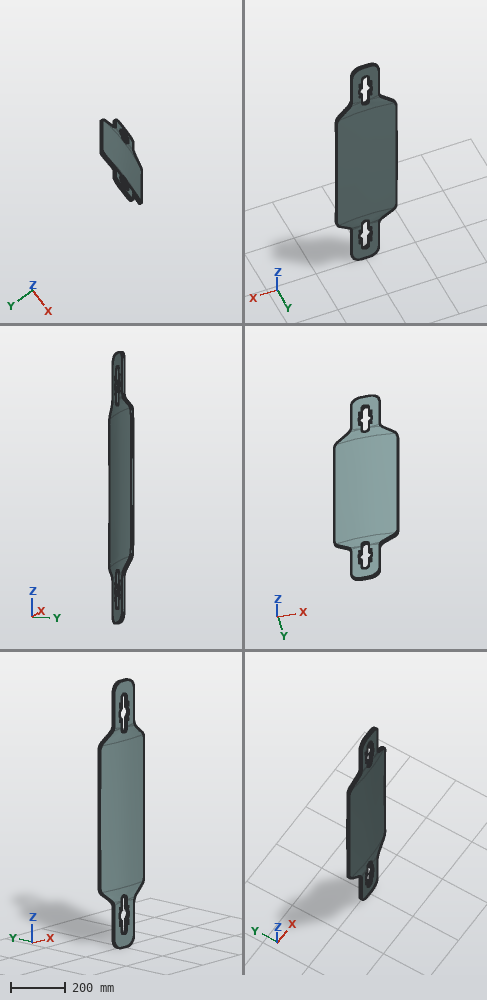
import cadquery as cq
import math

INCH = 25.4

length = 40 * INCH
width = 9.5 * INCH
depth = 20.91
thickness = 0.375 * INCH

half_length = length / 2
deck_end = 11 * INCH
tail_start = 13 * INCH

tail_width = 4.25 * INCH
corner_radius = 1.5 * INCH

camber_rise = 1.5
concave_rise = depth - thickness - camber_rise

bend_radius = 75.0

mount_centre = half_length - 4.875 * INCH
slot_length = 147.0
slot_width = 27.5
hanger_diameter = 2 * INCH
bolt_diameter = 5.0
bolt_spacing_across = 1.625 * INCH
bolt_spacing_short = 2.125 * INCH
bolt_spacing_long = 2.5 * INCH

trim_allowance = 1.1

cut_depth = 3 * depth


def arc_radius(half_chord, rise):
    return (half_chord**2 + rise**2) / (2 * rise)


def camber_radius():
    return arc_radius(deck_end, camber_rise)


def concave_section():
    """Closed cross-section of the deck at mid length, in the XY plane."""
    half = width / 2
    inner = arc_radius(half, concave_rise)
    outer = inner + thickness
    centre_y = camber_rise + outer
    angle = math.asin(half * trim_allowance / inner)

    def on_arc(radius, turn):
        return (radius * math.sin(turn), centre_y - radius * math.cos(turn))

    return (
        cq.Workplane("XY")
        .moveTo(*on_arc(outer, -angle))
        .threePointArc(on_arc(outer, 0), on_arc(outer, angle))
        .lineTo(*on_arc(inner, angle))
        .threePointArc(on_arc(inner, 0), on_arc(inner, -angle))
        .close()
    )


def camber_axis():
    """Two points of the axis, parallel to X, about which the deck is bent lengthwise."""
    axis_y = camber_rise - camber_radius()
    return (0, axis_y, 0), (1, axis_y, 0)


def deck_end_angle():
    return math.degrees(math.asin(deck_end / camber_radius()))


def deck_blank():
    """Cambered and concave middle of the board."""
    start, end = camber_axis()
    bend = 2 * deck_end_angle()
    return concave_section().revolve(bend, start, end).rotate(start, end, -deck_end_angle())


def tail_section():
    """Flat cross-section of the tail, corresponding corner by corner to the deck section."""
    half = tail_width / 2 * trim_allowance
    return (
        cq.Workplane("XY", origin=(0, 0, tail_start))
        .moveTo(-half, 0)
        .lineTo(half, 0)
        .lineTo(half, thickness)
        .lineTo(-half, thickness)
        .close()
    )


def bend_blank():
    """Ruled transition from the curved end of the deck to the flat tail."""
    deck_wire = concave_section().val().rotate(*map(cq.Vector, camber_axis()), deck_end_angle())
    return cq.Workplane(cq.Solid.makeLoft([deck_wire, tail_section().val()], True))


def tail_blank():
    return tail_section().extrude(half_length - tail_start)


def end_blank():
    """Transition and tail in one piece, with the bends between them rounded."""
    joined = bend_blank().union(tail_blank())
    reach = thickness / 10
    bends = cq.selectors.BoxSelector(
        (-width, -thickness, tail_start - reach), (width, 2 * thickness, tail_start + reach)
    )
    return joined.edges("|X").edges(bends).fillet(bend_radius)


def outline_prism():
    """The board's plan outline, extruded through the whole depth."""
    half_tail = tail_width / 2
    half = width / 2
    upper = [(half, deck_end), (half_tail, tail_start), (half_tail, half_length)]
    right = [(x, -z) for x, z in reversed(upper)] + upper
    left = [(-x, -z) for x, z in right]
    return (
        cq.Workplane("XZ")
        .polyline(right + left)
        .close()
        .extrude(cut_depth, both=True)
        .edges("|Y")
        .fillet(corner_radius)
    )


def through_cut(sketch):
    return sketch.extrude(cut_depth, both=True)


def truck_mount():
    """Drop-through opening with its bolt holes in the +Z tail."""
    plane = cq.Workplane("XZ", origin=(0, 0, mount_centre))
    slot = through_cut(plane.slot2D(slot_length, slot_width, 90))
    hanger = through_cut(plane.circle(hanger_diameter / 2))
    inner_z = -bolt_spacing_short / 2
    rows = [inner_z, inner_z + bolt_spacing_short, inner_z + bolt_spacing_long]
    places = [(side * bolt_spacing_across / 2, z) for side in (-1, 1) for z in rows]
    bolts = through_cut(plane.pushPoints(places).circle(bolt_diameter / 2))
    return slot.union(hanger).union(bolts)


def both_ends(shape):
    return shape.union(shape.mirror("XY"))


board = deck_blank().union(both_ends(end_blank())).intersect(outline_prism())
result = board.cut(both_ends(truck_mount()))